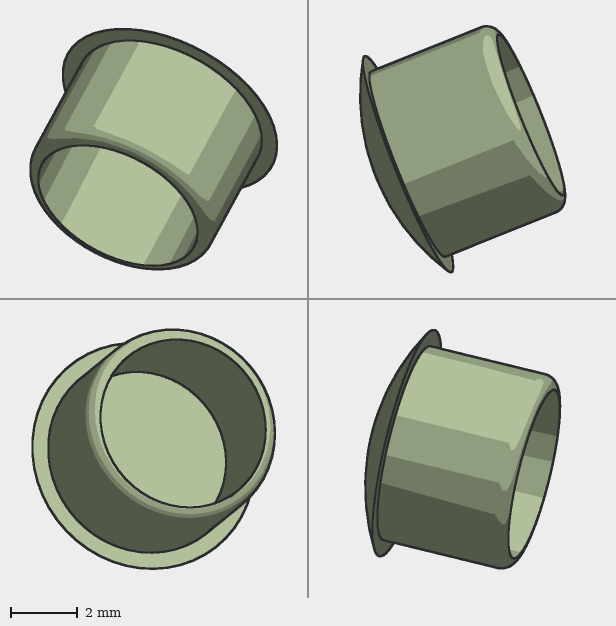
import cadquery as cq

head_diameter = 7.0
dome_height = 1.0
body_diameter = 6.0
body_length = 4.0
bore_diameter = 5.2
bore_depth = body_length

head_radius = head_diameter / 2
body_radius = body_diameter / 2
wall_thickness = (body_diameter - bore_diameter) / 2
rim_radius = wall_thickness
dome_radius = (head_radius**2 + dome_height**2) / (2 * dome_height)


def make_head():
    """Spherical cap with a sharp edge, flat underside at Y = 0."""
    arc_middle_x = head_radius / 2
    dome_center_y = dome_height - dome_radius
    arc_middle_y = dome_center_y + (dome_radius**2 - arc_middle_x**2) ** 0.5
    return (
        cq.Workplane("XY")
        .moveTo(0, 0)
        .lineTo(head_radius, 0)
        .threePointArc((arc_middle_x, arc_middle_y), (0, dome_height))
        .close()
        .revolve(360, (0, 0, 0), (0, 1, 0))
    )


def make_body():
    """Solid cylinder below the head, with its outer edge rounded at the open end."""
    return (
        cq.Workplane("XZ")
        .circle(body_radius)
        .extrude(body_length)
        .faces("<Y")
        .edges()
        .fillet(rim_radius)
    )


def make_bore():
    """Flat-bottomed blind hole from the open end."""
    return (
        cq.Workplane("XZ", origin=(0, -body_length, 0))
        .circle(bore_diameter / 2)
        .extrude(-bore_depth)
    )


result = make_head().union(make_body()).cut(make_bore())